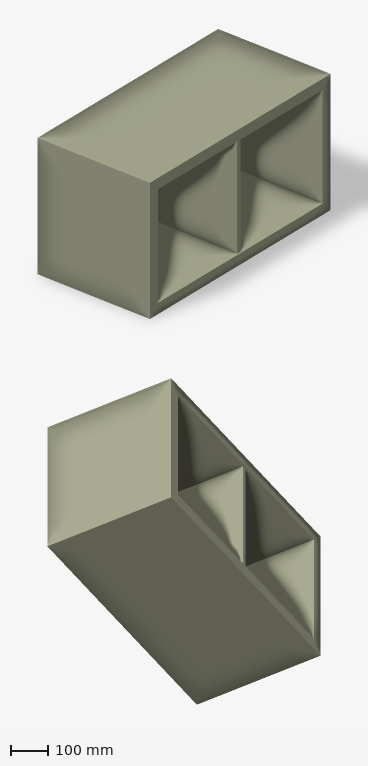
import cadquery as cq

depth = 390.0
width = 770.0
height = 420.0

frame_thickness = 35.0
divider_thickness = 15.0
divider_recess = 5.0
divider_offset = 0.5

inner_height = height - 2 * frame_thickness
divider_depth = depth - 2 * divider_recess


def make_board(size_x, size_y, size_z, center_y=0.0, center_z=0.0):
    """Board centered in depth, placed by its center in Y and Z."""
    return cq.Workplane("XY").box(size_x, size_y, size_z).translate((0, center_y, center_z))


def make_boards():
    """Divider plus the four boards of the frame; the side boards fit between top and bottom."""
    boards = [make_board(divider_depth, divider_thickness, inner_height, center_y=divider_offset)]
    for side in (-1, 1):
        board_y = side * (width - frame_thickness) / 2
        board_z = side * (height - frame_thickness) / 2
        boards.append(make_board(depth, width, frame_thickness, center_z=board_z))
        boards.append(make_board(depth, frame_thickness, inner_height, center_y=board_y))
    return boards


divider, *frame_boards = make_boards()
shelf = divider
for board in frame_boards:
    shelf = shelf.union(board, clean=False)

result = shelf